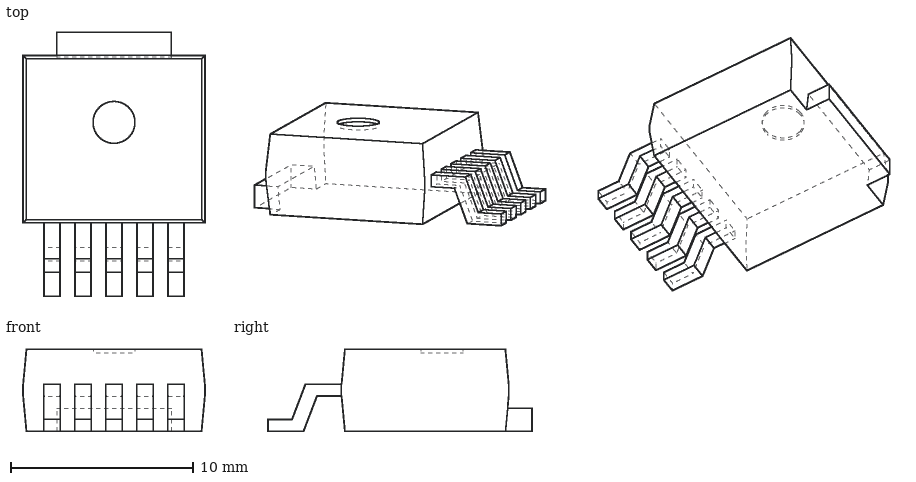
import cadquery as cq

body_width = 10.0
body_length = 9.2
lower_height = 2.0
belt_height = 0.51
upper_height = 2.0
taper_inset = 0.19
body_height = lower_height + belt_height + upper_height

mark_diameter = 2.3
mark_depth = 0.2
mark_y = 0.92

tab_width = 6.3
tab_reach = 1.27
tab_thickness = 1.27
tab_embedded = 1.0

lead_count = 5
lead_pitch = 1.7
lead_width = 0.9
lead_thickness = 0.66
lead_top = 2.6
lead_reach = 4.03
lead_embedded = 0.5
foot_length = 1.32
slope_run = 0.74
bend_shift = 0.64

body_front = -body_length / 2
body_back = body_length / 2


def tapered_half(base_z, end_z):
    """Half of the body, full size at base_z and inset on all sides at end_z."""
    return (
        cq.Workplane("XY")
        .workplane(offset=base_z)
        .rect(body_width, body_length)
        .workplane(offset=end_z - base_z)
        .rect(body_width - 2 * taper_inset, body_length - 2 * taper_inset)
        .loft(ruled=True)
    )


def make_body():
    """Belt with both tapered halves and the recessed mark."""
    belt_top = lower_height + belt_height
    belt = (
        cq.Workplane("XY")
        .workplane(offset=lower_height)
        .rect(body_width, body_length)
        .extrude(belt_height)
    )
    lower = tapered_half(lower_height, 0)
    upper = tapered_half(belt_top, body_height)
    mark = (
        cq.Workplane("XY")
        .workplane(offset=body_height - mark_depth)
        .center(0, mark_y)
        .circle(mark_diameter / 2)
        .extrude(mark_depth)
    )
    return belt.union(lower).union(upper).cut(mark)


def make_tab():
    """Heat tab flush with the base, running a little way into the body."""
    tab_length = tab_reach + tab_embedded
    return (
        cq.Workplane("XY")
        .box(tab_width, tab_length, tab_thickness, centered=(True, False, False))
        .translate((0, body_back - tab_embedded, 0))
    )


def make_lead(center_x):
    """One lead: flat shoulder, sloping leg and flat foot."""
    tip_y = body_front - lead_reach
    root_y = body_front + lead_embedded
    foot_bend_y = tip_y + foot_length
    shoulder_bend_y = foot_bend_y + slope_run
    shoulder_bottom = lead_top - lead_thickness
    profile = [
        (tip_y, 0),
        (foot_bend_y + bend_shift, 0),
        (shoulder_bend_y + bend_shift, shoulder_bottom),
        (root_y, shoulder_bottom),
        (root_y, lead_top),
        (shoulder_bend_y, lead_top),
        (foot_bend_y, lead_thickness),
        (tip_y, lead_thickness),
    ]
    return (
        cq.Workplane("YZ")
        .workplane(offset=center_x - lead_width / 2)
        .polyline(profile)
        .close()
        .extrude(lead_width)
    )


result = make_body().union(make_tab())
for index in range(lead_count):
    lead_x = (index - (lead_count - 1) / 2) * lead_pitch
    result = result.union(make_lead(lead_x))